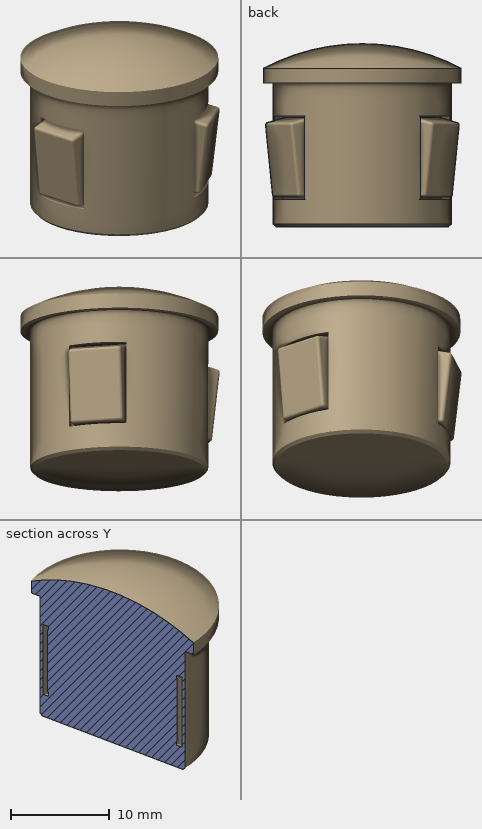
import cadquery as cq

flange_diameter = 20.0
body_diameter = 18.0
total_height = 18.5
flange_thickness = 1.5
dome_height = 2.5
lower_chamfer = 0.3

catch_count = 3
recess_width = 6.0
recess_bottom = 2.75
recess_top = 11.2
recess_floor_distance = 7.5

catch_width = 5.5
catch_bottom = 3.0
catch_root_top = 11.05
catch_tip_height = 10.48
catch_tip_distance = 9.85
catch_lower_distance = 9.0
catch_root_overlap = 0.2
catch_fillet = 0.3

flange_radius = flange_diameter / 2
body_radius = body_diameter / 2
flange_top = total_height - dome_height
flange_bottom = flange_top - flange_thickness
dome_radius = (flange_radius**2 + dome_height**2) / (2 * dome_height)
dome_center = total_height - dome_radius
dome_mid_radius = flange_radius / 2
dome_mid_height = dome_center + (dome_radius**2 - dome_mid_radius**2) ** 0.5


def make_plug():
    """Revolve the body, flange and spherical dome."""
    return (
        cq.Workplane("XZ")
        .lineTo(body_radius - lower_chamfer, 0)
        .lineTo(body_radius, lower_chamfer)
        .lineTo(body_radius, flange_bottom)
        .lineTo(flange_radius, flange_bottom)
        .lineTo(flange_radius, flange_top)
        .threePointArc((dome_mid_radius, dome_mid_height), (0, total_height))
        .close()
        .revolve(360, (0, 0), (0, 1))
    )


def make_recess():
    """Cutter for the recess facing +X, reaching out to the flange radius."""
    return cq.Workplane("XY").box(
        flange_radius - recess_floor_distance,
        recess_width,
        recess_top - recess_bottom,
        centered=(False, True, False),
    ).translate((recess_floor_distance, 0, recess_bottom))


def make_catch():
    """Wedge facing +X, with its outer face and the edges around it rounded."""
    top_slope = (catch_root_top - catch_tip_height) / (catch_tip_distance - recess_floor_distance)
    root_distance = recess_floor_distance - catch_root_overlap
    profile = [
        (root_distance, catch_bottom),
        (catch_lower_distance, catch_bottom),
        (catch_tip_distance, catch_tip_height),
        (root_distance, catch_root_top + top_slope * catch_root_overlap),
    ]
    return (
        cq.Workplane("XZ")
        .polyline(profile)
        .close()
        .extrude(catch_width / 2, both=True)
        .edges("not(<X)")
        .fillet(catch_fillet)
    )


result = make_plug()
recess = make_recess()
catch = make_catch()
for index in range(catch_count):
    angle = -90 + index * 360 / catch_count
    result = result.cut(recess.rotate((0, 0, 0), (0, 0, 1), angle))
    result = result.union(catch.rotate((0, 0, 0), (0, 0, 1), angle))